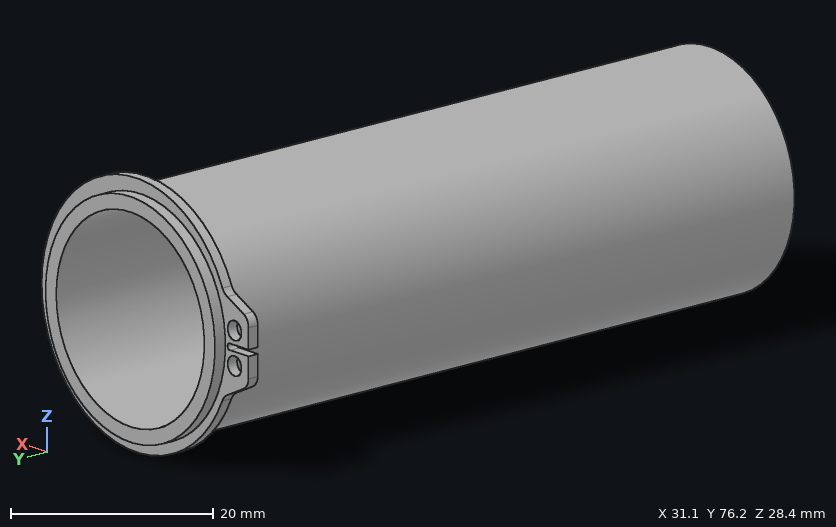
import cadquery as cq
import math

tube_length = 76.2
tube_radius = 25.45 / 2
tube_bore_radius = 22.25 / 2

ring_radius = 28.4 / 2
ring_offset = 0.7
ring_thickness = 1.2
ring_setback = 1.4
ring_span = 31.1

ear_tip_x = ring_offset + ring_radius - ring_span
ear_tip_height = 3.5
ear_slope = 0.5
ear_corner_radius = 1.4
ear_root_radius = 1.5
ear_gap = 0.7
ear_gap_web = 0.3
ear_hole_x = -14.1
ear_hole_z = 1.8
ear_hole_diameter = 2.05


def disc(radius, center_x):
    """Disc as thick as the ring, running from Y = 0 towards -Y."""
    return cq.Workplane("XZ").center(center_x, 0).circle(radius).extrude(ring_thickness)


def make_tube():
    return cq.Workplane("XZ").circle(tube_radius).circle(tube_bore_radius).extrude(tube_length)


def make_ears():
    """Both ears as one flared plate with rounded outer corners, reaching into the ring."""
    root_x = -tube_bore_radius
    root_height = ear_tip_height + ear_slope * (root_x - ear_tip_x)
    return (
        cq.Workplane("XZ")
        .moveTo(ear_tip_x, -ear_tip_height)
        .lineTo(ear_tip_x, ear_tip_height)
        .lineTo(root_x, root_height)
        .lineTo(root_x, -root_height)
        .close()
        .extrude(ring_thickness)
        .edges("|Y and <X")
        .fillet(ear_corner_radius)
    )


def ear_root_point():
    """X and Z of the point where the sloping edge of the upper ear meets the ring."""
    slope_angle = math.atan(ear_slope)
    line_height = ear_tip_height + ear_slope * (ring_offset - ear_tip_x)
    distance = line_height * math.cos(slope_angle)
    angle = math.pi / 2 + slope_angle + math.acos(distance / ring_radius)
    return ring_offset + ring_radius * math.cos(angle), ring_radius * math.sin(angle)


def make_ring():
    ring = disc(ring_radius, ring_offset).union(make_ears())

    root_x, root_z = ear_root_point()
    for side in (1, -1):
        corner = cq.selectors.NearestToPointSelector((root_x, -ring_thickness / 2, side * root_z))
        ring = ring.edges("|Y").edges(corner).fillet(ear_root_radius)

    ring = ring.cut(disc(tube_radius, 0))

    gap_end_center_x = -tube_radius - ear_gap_web - ear_gap / 2
    gap_center_x = (ear_tip_x + gap_end_center_x) / 2
    gap_length = gap_end_center_x - ear_tip_x
    gap = cq.Workplane("XZ").center(gap_center_x, 0).rect(gap_length, ear_gap).extrude(ring_thickness)
    ring = ring.cut(gap).cut(disc(ear_gap / 2, gap_end_center_x))

    holes = (
        cq.Workplane("XZ")
        .pushPoints([(ear_hole_x, ear_hole_z), (ear_hole_x, -ear_hole_z)])
        .circle(ear_hole_diameter / 2)
        .extrude(ring_thickness)
    )
    return ring.cut(holes).translate((0, -ring_setback, 0))


tube = make_tube()
retaining_ring = make_ring()
result = cq.Compound.makeCompound([tube.val(), *retaining_ring.solids().vals()])